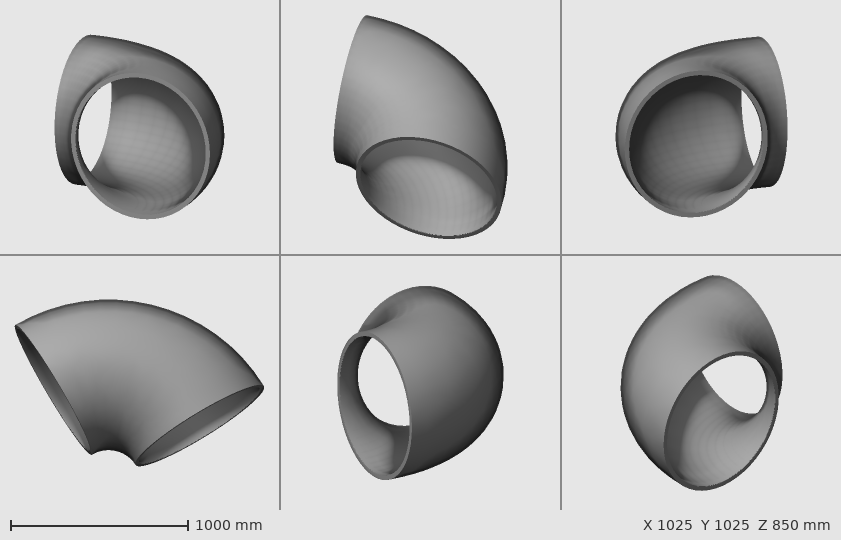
import cadquery as cq

OVERALL = 1025.0
OUTER_DIAMETER = 850.0
INNER_DIAMETER = 800.0
RING_THICKNESS = 2.0
LINER_THICKNESS = 1.5

BEND_RADIUS = OVERALL - RING_THICKNESS - OUTER_DIAMETER / 2
BEND_ANGLE = 90

LINER_INNER_DIAMETER = INNER_DIAMETER - 2 * LINER_THICKNESS


def make_bend(outer_diameter, inner_diameter):
    """Quarter-torus tube from the -Y facing end to the -X facing end."""
    return (
        cq.Workplane("XZ")
        .center(BEND_RADIUS, 0)
        .circle(outer_diameter / 2)
        .circle(inner_diameter / 2)
        .revolve(BEND_ANGLE, (-BEND_RADIUS, 0), (-BEND_RADIUS, 1))
        .translate((RING_THICKNESS, RING_THICKNESS, 0))
    )


def make_end_ring(plane, inward):
    """Thin flat ring from a plane through the origin; inward is the sign of its extrusion."""
    return (
        cq.Workplane(plane)
        .center(RING_THICKNESS + BEND_RADIUS, 0)
        .circle(OUTER_DIAMETER / 2)
        .circle(INNER_DIAMETER / 2)
        .extrude(inward * RING_THICKNESS)
    )


elbow = make_bend(OUTER_DIAMETER, INNER_DIAMETER)

liner = make_bend(INNER_DIAMETER, LINER_INNER_DIAMETER)

end_rings = [make_end_ring(plane, inward) for plane, inward in (("XZ", -1), ("YZ", 1))]

result = cq.Compound.makeCompound(
    [elbow.val(), liner.val(), *[ring.val() for ring in end_rings]]
)